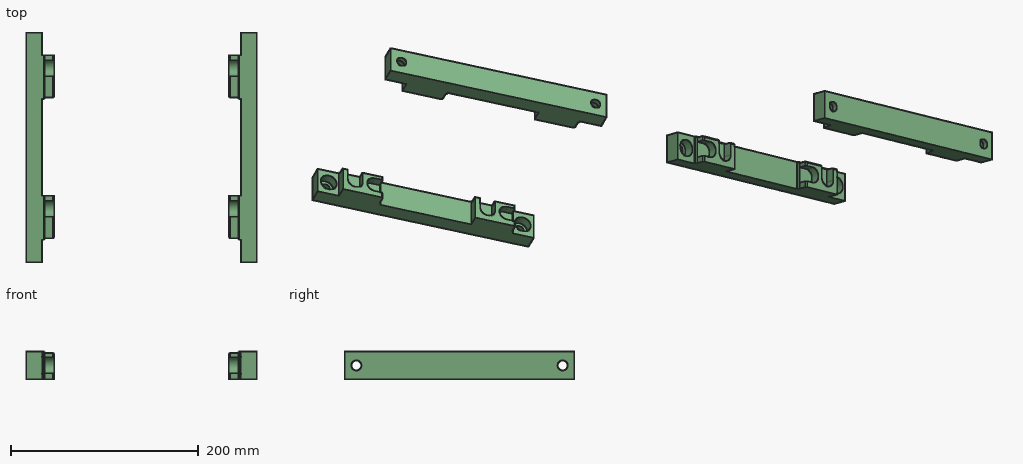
import cadquery as cq

overall_width = 246.0
rail_length = 245.0
rail_height = 30.0
rail_thickness = 17.0
rail_outer_x = overall_width / 2
rail_inner_x = rail_outer_x - rail_thickness

hole_diameter = 10.5
hole_spacing = 220.0
counterbore_diameter = 18.0
counterbore_depth = 11.0

pad_spacing = 150.0
base_length = 47.0
base_thickness = 3.0
base_chamfer = 1.5
block_depth = 10.0
block_height = rail_height - base_chamfer
block_length = base_length - base_chamfer
block_chamfer = 1.5

slot_width = 17.0
slot_radius = slot_width / 2
upright_slot_wall = 5.5
level_slot_wall = 6.5
slot_center_z = level_slot_wall + slot_radius
slot_separation = 5.0

block_root_x = rail_inner_x - base_thickness
block_face_x = block_root_x - block_depth


def box_between(low, high):
    """Axis-aligned box between two opposite corners."""
    size = [end - start for start, end in zip(low, high)]
    return cq.Workplane("XY").box(*size, centered=False).translate(low)


def slot_end(center_y):
    """Cylinder along X that rounds the closed end of a slot."""
    return (
        cq.Workplane("YZ", origin=(block_face_x, 0, 0))
        .center(center_y, slot_center_z)
        .circle(slot_radius)
        .extrude(block_depth)
    )


def make_rail_bar():
    """Plain bar with a counterbored hole near each end."""
    bar = box_between(
        (rail_inner_x, -rail_length / 2, 0),
        (rail_outer_x, rail_length / 2, rail_height),
    )
    return (
        bar.faces("<X")
        .workplane(origin=(rail_inner_x, 0, rail_height / 2))
        .pushPoints([(-hole_spacing / 2, 0), (hole_spacing / 2, 0)])
        .cboreHole(hole_diameter, counterbore_diameter, counterbore_depth)
    )


def make_base(start_y):
    """Base plate, chamfered along its inner top and -Y edges."""
    end_y = start_y - base_length
    base = box_between((block_root_x, end_y, 0), (rail_inner_x, start_y, rail_height))
    return base.faces("<X").edges(">Z or <Y").chamfer(base_chamfer)


def make_block(start_y):
    """Block with one slot open at the top and one open at the -Y end."""
    end_y = start_y - block_length
    block = box_between((block_face_x, end_y, 0), (block_root_x, start_y, block_height))
    block = block.faces("<X").edges(">Z or <Y").chamfer(block_chamfer)

    upright_y = start_y - upright_slot_wall - slot_radius
    upright_slot = box_between(
        (block_face_x, upright_y - slot_radius, slot_center_z),
        (block_root_x, upright_y + slot_radius, block_height),
    ).union(slot_end(upright_y))

    level_y = upright_y - slot_width - slot_separation
    level_slot = box_between(
        (block_face_x, end_y, level_slot_wall),
        (block_root_x, level_y, level_slot_wall + slot_width),
    ).union(slot_end(level_y))

    return block.cut(upright_slot).cut(level_slot)


def make_rail():
    """Complete rail on the +X side, with its two hook pads."""
    rail = make_rail_bar()
    for center_y in (-pad_spacing / 2, pad_spacing / 2):
        start_y = center_y + base_length / 2
        rail = rail.union(make_base(start_y)).union(make_block(start_y))
    return rail.clean()


right_rail = make_rail()
left_rail = right_rail.mirror("YZ")

result = cq.Compound.makeCompound([right_rail.val(), left_rail.val()])